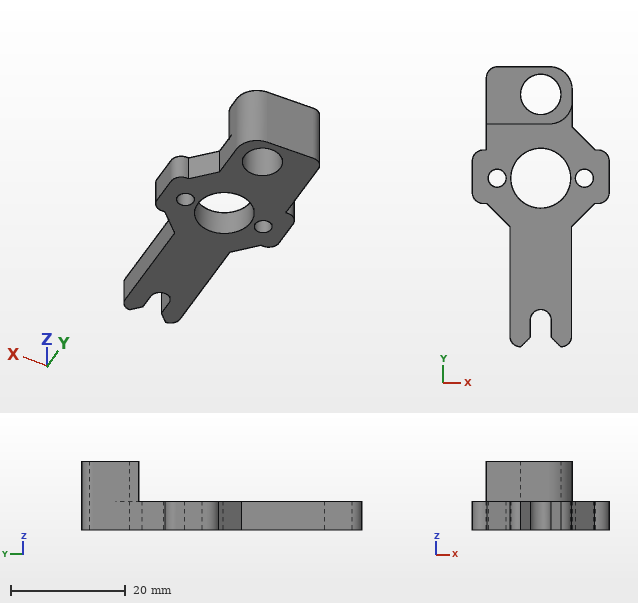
import cadquery as cq

plate_thickness = 5.0
total_height = 12.0
total_length = 48.85

ear_span = 23.9
ear_top = 4.95
ear_bottom = -4.45
ear_radius = 2.0

bore_diameter = 10.4
screw_hole_diameter = 3.1
screw_hole_spacing = 15.2

block_left = -9.5
block_width = 15.0
block_length = 10.0
block_small_radius = 2.0
block_large_radius = 4.0
block_hole_diameter = 7.0
block_hole_y = 14.6
block_end = 19.45

arm_width = 10.8
arm_radius = 1.9
slot_width = 3.6
slot_depth = 6.5
slot_mouth_chamfer = 1.7

web_size = 4.0

block_right = block_left + block_width
block_start = block_end - block_length
arm_end = block_end - total_length
arm_half = arm_width / 2


def rectangle(left, right, bottom, top, height):
    """Upright box standing on the underside plane."""
    return (
        cq.Workplane("XY")
        .center((left + right) / 2, (bottom + top) / 2)
        .rect(right - left, top - bottom)
        .extrude(height)
    )


def make_ears():
    """Central body of the plate, rounded at its four corners."""
    half_span = ear_span / 2
    ears = rectangle(-half_span, half_span, ear_bottom, ear_top, plate_thickness)
    return ears.edges("|Z").fillet(ear_radius)


def make_neck():
    """Plate under the raised block, widened to the right ear by a 45 degree web."""
    neck = (
        cq.Workplane("XY")
        .moveTo(block_left, 0)
        .lineTo(block_left, block_end)
        .lineTo(block_right, block_end)
        .lineTo(block_right, ear_top + web_size)
        .lineTo(block_right + web_size, ear_top)
        .lineTo(block_right + web_size, 0)
        .close()
        .extrude(plate_thickness)
    )
    neck = neck.edges("|Z").edges(">Y").edges("<X").fillet(block_small_radius)
    return neck.edges("|Z").edges(">Y").edges(">X").fillet(block_large_radius)


def make_block():
    """Full-height block, with one square corner toward -X and -Y."""
    block = rectangle(block_left, block_right, block_start, block_end, total_height)
    block = block.edges("|Z and >X").fillet(block_large_radius)
    return block.edges("|Z and <X").edges(">Y").fillet(block_small_radius)


def make_arm():
    """Arm with rounded outer corners, joined to both ears by 45 degree webs."""
    arm = rectangle(-arm_half, arm_half, arm_end, 0, plate_thickness)
    arm = arm.edges("|Z and <Y").fillet(arm_radius)
    web_half = arm_half + web_size
    webs = (
        cq.Workplane("XY")
        .moveTo(-web_half, 0)
        .lineTo(-web_half, ear_bottom)
        .lineTo(-arm_half, ear_bottom - web_size)
        .lineTo(arm_half, ear_bottom - web_size)
        .lineTo(web_half, ear_bottom)
        .lineTo(web_half, 0)
        .close()
        .extrude(plate_thickness)
    )
    return arm.union(webs)


def make_slot():
    """Round-ended slot open at the arm tip, with a flared mouth."""
    half = slot_width / 2
    slot_top = arm_end + slot_depth
    mouth_half = half + slot_mouth_chamfer
    mouth_top = arm_end + slot_mouth_chamfer
    return (
        cq.Workplane("XY")
        .moveTo(-mouth_half, arm_end)
        .lineTo(-half, mouth_top)
        .lineTo(-half, slot_top - half)
        .threePointArc((0, slot_top), (half, slot_top - half))
        .lineTo(half, mouth_top)
        .lineTo(mouth_half, arm_end)
        .close()
        .extrude(plate_thickness)
    )


def make_hole(x, y, diameter):
    """Cylinder tall enough to pass through the whole part."""
    return cq.Workplane("XY").center(x, y).circle(diameter / 2).extrude(total_height)


result = make_ears().union(make_neck()).union(make_block()).union(make_arm())
result = result.cut(make_slot())
result = result.cut(make_hole(0, 0, bore_diameter))
result = result.cut(make_hole(0, block_hole_y, block_hole_diameter))
for side in (-1, 1):
    result = result.cut(make_hole(side * screw_hole_spacing / 2, 0, screw_hole_diameter))